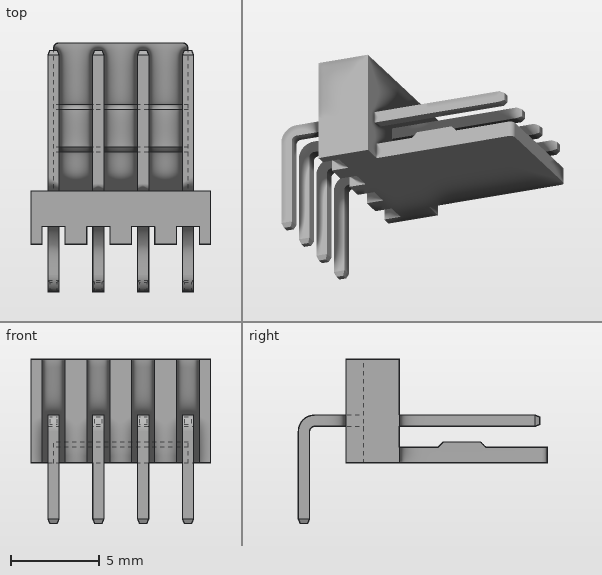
import cadquery as cq
import math

pin_count = 4
pitch = 2.54
pin_positions = [(i - (pin_count - 1) / 2) * pitch for i in range(pin_count)]

wall_width = 10.17
wall_depth = 3.03
wall_height = 5.87

groove_width = 1.3
groove_depth = 1.0

tongue_width = 7.6
tongue_length = 8.38
tongue_thickness = 0.89
tongue_corner_radius = 0.3

ridge_height = 0.3
ridge_base_length = 2.71
ridge_to_tongue_tip = 3.48

pin_side = 0.65
pin_bottom = 2.06
pin_tip_setback = 0.42
pin_overall_drop = 3.44
bend_inner_radius = 0.28
bend_outer_radius = bend_inner_radius + pin_side
tip_length = 0.27
tip_end_side = 0.42

overall_length = 14.1
overlap = 0.14

pin_tip_y = tongue_length - pin_tip_setback
pin_back_y = tongue_length - overall_length

pin_top = pin_bottom + pin_side
pin_low_z = -pin_overall_drop


def make_wall():
    wall = cq.Workplane("XY").box(wall_width, wall_depth, wall_height, centered=(True, False, False))
    wall = wall.translate((0, -wall_depth, 0))
    for x in pin_positions:
        groove = cq.Workplane("XY").box(groove_width, groove_depth, wall_height, centered=(True, False, False))
        wall = wall.cut(groove.translate((x, -wall_depth, 0)))
    return wall


def make_tongue():
    plate = (
        cq.Workplane("XY")
        .box(tongue_width, tongue_length + overlap, tongue_thickness, centered=(True, False, False))
        .translate((0, -overlap, 0))
        .edges("|Z and >Y")
        .fillet(tongue_corner_radius)
    )
    ridge_far_y = tongue_length - ridge_to_tongue_tip
    ridge_near_y = ridge_far_y - ridge_base_length
    ridge_top = tongue_thickness + ridge_height
    ridge = (
        cq.Workplane("YZ")
        .polyline([
            (ridge_near_y, 0),
            (ridge_near_y, tongue_thickness),
            (ridge_near_y + ridge_height, ridge_top),
            (ridge_far_y - ridge_height, ridge_top),
            (ridge_far_y, tongue_thickness),
            (ridge_far_y, 0),
        ])
        .close()
        .extrude(tongue_width / 2, both=True)
    )
    return plate.union(ridge)


def make_tip(origin, normal):
    """Truncated pyramid that tapers a pin end along the given direction."""
    plane = cq.Plane(origin=origin, xDir=(1, 0, 0), normal=normal)
    return (
        cq.Workplane(plane)
        .rect(pin_side, pin_side)
        .workplane(offset=tip_length)
        .rect(tip_end_side, tip_end_side)
        .loft(ruled=True)
    )


def make_pin(x):
    leg_end_y = pin_tip_y - tip_length
    leg_end_z = pin_low_z + tip_length
    inner_y = pin_back_y + pin_side
    bend_y = pin_back_y + bend_outer_radius
    bend_z = pin_top - bend_outer_radius
    diagonal = math.sqrt(0.5)
    outer_mid = (bend_y - bend_outer_radius * diagonal, bend_z + bend_outer_radius * diagonal)
    inner_mid = (bend_y - bend_inner_radius * diagonal, bend_z + bend_inner_radius * diagonal)
    shank = (
        cq.Workplane("YZ")
        .moveTo(leg_end_y, pin_top)
        .lineTo(bend_y, pin_top)
        .threePointArc(outer_mid, (pin_back_y, bend_z))
        .lineTo(pin_back_y, leg_end_z)
        .lineTo(inner_y, leg_end_z)
        .lineTo(inner_y, bend_z)
        .threePointArc(inner_mid, (bend_y, pin_bottom))
        .lineTo(leg_end_y, pin_bottom)
        .close()
        .extrude(pin_side / 2, both=True)
    )
    mating_tip = make_tip((0, leg_end_y, pin_bottom + pin_side / 2), (0, 1, 0))
    solder_tip = make_tip((0, pin_back_y + pin_side / 2, leg_end_z), (0, 0, -1))
    return shank.union(mating_tip).union(solder_tip).translate((x, 0, 0))


result = make_wall().union(make_tongue())
for pin_x in pin_positions:
    result = result.union(make_pin(pin_x))